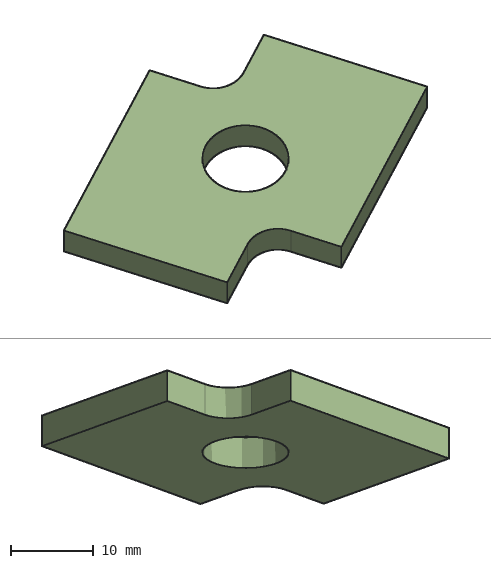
import cadquery as cq

width = 32.0
length = 37.6
thickness = 4.0

hole_diameter = 10.4

notch_width = 10.65
notch_length = 10.4
notch_radius = 4.0


def corner_notch(side_x, side_y):
    """Cutter for one corner, with rounded vertical edges."""
    return (
        cq.Workplane("XY")
        .box(2 * notch_width, 2 * notch_length, thickness)
        .edges("|Z")
        .fillet(notch_radius)
        .translate((side_x * width / 2, side_y * length / 2, 0))
    )


plate = cq.Workplane("XY").box(width, length, thickness)
plate = plate.faces(">Z").workplane().hole(hole_diameter)

for side_x, side_y in ((-1, 1), (1, -1)):
    plate = plate.cut(corner_notch(side_x, side_y))

result = plate